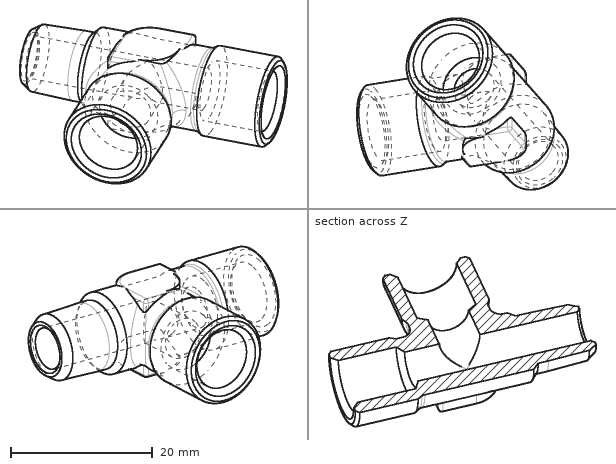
import cadquery as cq
import math


body_radius = 6.0
crotch_fillet = 1.5

socket_end = 18.5
collar_radius = 6.5
collar_start = 9.33
collar_chamfer = 0.5
collar_cone_angle = math.radians(30)
collar_root_fillet = 1.0
cone_start = collar_start - (collar_radius - body_radius) / math.tan(collar_cone_angle)
body_end = cone_start - collar_root_fillet * math.tan(collar_cone_angle / 2)

tap_radius = 4.35
tap_mouth_radius = 5.25
tap_bottom = 9.0
drill_half_angle = math.radians(59)

male_end = 18.0
male_tip_radius = 4.0
male_chamfer_end = 16.7
taper_start_radius = 4.85
taper_end = 10.5
neck_radius = 5.05
shoulder_start = 9.0
shoulder_end = shoulder_start - (body_radius - neck_radius)

bore_radius = 3.0
bore_mouth_radius = 3.5

pad_round_radius = 4.5
pad_reach = 5.5
pad_edge_fillet = 0.5


def revolve_about_x(profile):
    """Revolve a closed (axial, radial) profile about the X axis."""
    return profile.close().revolve(360, (0, 0, 0), (1, 0, 0))


def to_branch(shape):
    """Turn a shape from the +X direction to the -Y direction."""
    return shape.rotate((0, 0, 0), (0, 0, 1), -90)


def make_body():
    """Two crossing cylinders with a fillet that fades out toward the top and bottom."""
    run = cq.Workplane("YZ", origin=(-shoulder_end, 0, 0)).circle(body_radius)
    run = run.extrude(shoulder_end + body_end)
    branch = to_branch(cq.Workplane("YZ").circle(body_radius).extrude(body_end))
    meeting_curves = cq.selectors.BoxSelector(
        (-body_radius, -body_radius, -body_radius),
        (body_radius, 0, body_radius),
    )
    return run.union(branch).edges(meeting_curves).fillet(crotch_fillet)


def make_pads():
    """One block through the crossing whose top and bottom faces are the two pads."""
    arc_middle = pad_round_radius * math.sqrt(0.5)
    return (
        cq.Workplane("XY", origin=(0, 0, -body_radius))
        .moveTo(-pad_round_radius, 0)
        .threePointArc((-arc_middle, arc_middle), (0, pad_round_radius))
        .lineTo(pad_reach, pad_round_radius)
        .lineTo(pad_reach, 0)
        .lineTo(pad_round_radius, 0)
        .threePointArc((arc_middle, -arc_middle), (0, -pad_round_radius))
        .lineTo(0, -pad_reach)
        .lineTo(-pad_round_radius, -pad_reach)
        .close()
        .extrude(2 * body_radius)
    )


def round_pads(pads):
    """Round the two outer corners and the outer rims, leaving the crotch side sharp."""
    for corner in [(pad_reach, pad_round_radius, 0), (-pad_round_radius, -pad_reach, 0)]:
        pads = pads.edges(cq.selectors.NearestToPointSelector(corner)).fillet(pad_edge_fillet)
    rims = cq.selectors.StringSyntaxSelector(">Z or <Z")
    crotch_side = cq.selectors.BoxSelector(
        (-pad_edge_fillet / 2, -pad_reach + pad_edge_fillet / 2, -collar_radius),
        (pad_reach - pad_edge_fillet / 2, pad_edge_fillet / 2, collar_radius),
    )
    return pads.edges(rims - crotch_side).fillet(pad_edge_fillet)


def make_collar():
    """Female end from the body cylinder out to the chamfered rim."""
    tangent_length = cone_start - body_end
    fillet_end = cone_start + tangent_length * math.cos(collar_cone_angle)
    fillet_end_radius = body_radius + tangent_length * math.sin(collar_cone_angle)
    half_angle = collar_cone_angle / 2
    fillet_middle = body_end + collar_root_fillet * math.sin(half_angle)
    fillet_middle_radius = body_radius + collar_root_fillet * (1 - math.cos(half_angle))
    return revolve_about_x(
        cq.Workplane("XY")
        .lineTo(0, body_radius)
        .lineTo(body_end, body_radius)
        .threePointArc((fillet_middle, fillet_middle_radius), (fillet_end, fillet_end_radius))
        .lineTo(collar_start, collar_radius)
        .lineTo(socket_end - collar_chamfer, collar_radius)
        .lineTo(socket_end, collar_radius - collar_chamfer)
        .lineTo(socket_end, 0)
    )


def make_male_end():
    return revolve_about_x(
        cq.Workplane("XY")
        .moveTo(-shoulder_end, 0)
        .lineTo(-shoulder_end, body_radius)
        .lineTo(-shoulder_start, neck_radius)
        .lineTo(-taper_end, neck_radius)
        .lineTo(-male_chamfer_end, taper_start_radius)
        .lineTo(-male_end, male_tip_radius)
        .lineTo(-male_end, 0)
    )


def make_socket_cut():
    """Bore, drill cone, tapped hole and mouth chamfer of a female end."""
    cone_length = (tap_radius - bore_radius) / math.tan(drill_half_angle)
    mouth_depth = tap_mouth_radius - tap_radius
    return revolve_about_x(
        cq.Workplane("XY")
        .lineTo(0, bore_radius)
        .lineTo(tap_bottom - cone_length, bore_radius)
        .lineTo(tap_bottom, tap_radius)
        .lineTo(socket_end - mouth_depth, tap_radius)
        .lineTo(socket_end, tap_mouth_radius)
        .lineTo(socket_end, 0)
    )


def make_male_bore_cut():
    mouth_depth = bore_mouth_radius - bore_radius
    return revolve_about_x(
        cq.Workplane("XY")
        .lineTo(0, bore_radius)
        .lineTo(-male_end + mouth_depth, bore_radius)
        .lineTo(-male_end, bore_mouth_radius)
        .lineTo(-male_end, 0)
    )


collar = make_collar()
socket = make_socket_cut()

result = make_body().union(round_pads(make_pads()))
result = result.union(collar).union(to_branch(collar)).union(make_male_end())
result = result.cut(socket).cut(to_branch(socket)).cut(make_male_bore_cut())